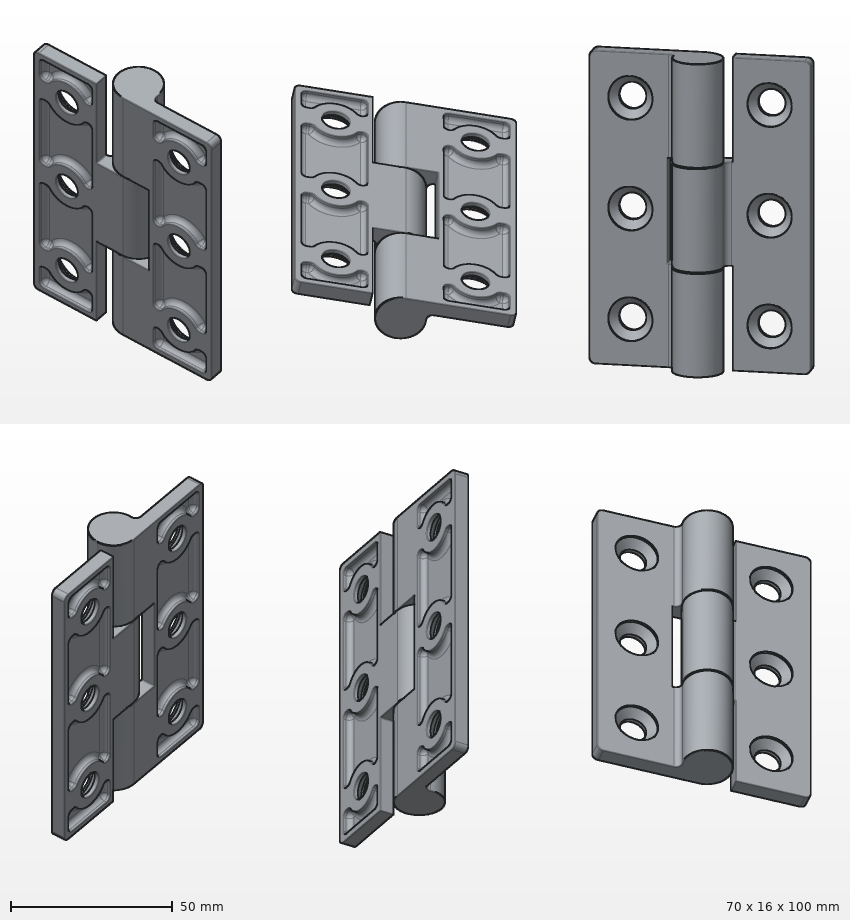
import cadquery as cq
import math

HEIGHT = 100.0
WIDTH = 70.0
LEAF_THICKNESS = 5.0
LEAF_CORNER_RADIUS = 2.0
EDGE_RADIUS = 0.2

KNUCKLE_RADIUS = 8.0
KNUCKLE_FILLET = 2.0
MIDDLE_KNUCKLE_HEIGHT = 33.2
KNUCKLE_GAP = 0.2
LEAF_EDGE_X = 10.3

HOLE_RADIUS = 4.3
HOLE_NECK = 1.5
SINK_RADIUS = 7.0
HOLE_X = 22.0
HOLE_PITCH = 35.3

POCKET_DEPTH = 2.8
POCKET_RADIUS = 1.8
POCKET_MARGIN = 2.2
POCKET_INNER_X = 12.0
POCKET_END_OFFSET = 4.0
BOSS_RADIUS = 8.2

HALF_HEIGHT = HEIGHT / 2
HALF_WIDTH = WIDTH / 2
AXIS_Y = KNUCKLE_RADIUS
HOLE_ROWS = (-HOLE_PITCH, 0.0, HOLE_PITCH)
FLAT_NORMAL = cq.Vector(0, 1, 0)


def block(x_min, x_max, y_max, z_min, z_max):
    """Box standing on the flat face Y = 0."""
    size = (x_max - x_min, y_max, z_max - z_min)
    return cq.Workplane("XY").box(*size, centered=False).translate((x_min, 0, z_min))


def rod(radius, z, y_min, y_max):
    """Cylinder along Y, on the axis of the screw hole at height z."""
    start = cq.Vector(HOLE_X, y_min, z)
    return cq.Workplane(cq.Solid.makeCylinder(radius, y_max - y_min, start, FLAT_NORMAL))


def plate():
    """Leaf plate on the +X side, with its two outer corners rounded."""
    body = block(LEAF_EDGE_X, HALF_WIDTH, LEAF_THICKNESS, -HALF_HEIGHT, HALF_HEIGHT)
    return body.edges("|Y and >X").fillet(LEAF_CORNER_RADIUS)


def knuckle(z_min, z_max):
    """Knuckle and the web that joins it to the plate, with a fillet behind the web."""
    centre_reach = KNUCKLE_RADIUS + KNUCKLE_FILLET
    centre_drop = AXIS_Y - LEAF_THICKNESS - KNUCKLE_FILLET
    centre_x = math.sqrt(centre_reach**2 - centre_drop**2)
    share = KNUCKLE_RADIUS / centre_reach
    tangent_point = (share * centre_x, AXIS_Y - share * centre_drop)
    return (
        cq.Workplane("XY", origin=(0, 0, z_min))
        .moveTo(0, 0)
        .lineTo(LEAF_EDGE_X, 0)
        .lineTo(LEAF_EDGE_X, LEAF_THICKNESS)
        .lineTo(centre_x, LEAF_THICKNESS)
        .radiusArc(tangent_point, KNUCKLE_FILLET)
        .radiusArc((KNUCKLE_RADIUS, AXIS_Y), -KNUCKLE_RADIUS)
        .threePointArc((0, AXIS_Y + KNUCKLE_RADIUS), (-KNUCKLE_RADIUS, AXIS_Y))
        .radiusArc((0, 0), -KNUCKLE_RADIUS)
        .close()
        .extrude(z_max - z_min)
    )


def pocket(z_min, z_max):
    """Pocket between two heights, curving around the screw bosses, with a rounded floor."""
    body = block(POCKET_INNER_X, HALF_WIDTH - POCKET_MARGIN, POCKET_DEPTH, z_min, z_max)
    for z in HOLE_ROWS:
        body = body.cut(rod(BOSS_RADIUS, z, 0, POCKET_DEPTH))
    body = body.edges("|Y").fillet(POCKET_RADIUS)
    return body.faces(">Y").edges().fillet(POCKET_RADIUS)


def screw_hole(z):
    """Narrow neck at the flat face, then a 90 degree cone and a head recess behind it."""
    cone_height = SINK_RADIUS - HOLE_RADIUS
    recess_start = HOLE_NECK + cone_height
    cone_base = cq.Vector(HOLE_X, HOLE_NECK, z)
    cone = cq.Solid.makeCone(HOLE_RADIUS, SINK_RADIUS, cone_height, cone_base, FLAT_NORMAL)
    neck = rod(HOLE_RADIUS, z, 0, HOLE_NECK)
    recess = rod(SINK_RADIUS, z, recess_start, LEAF_THICKNESS)
    return neck.union(cq.Workplane(cone)).union(recess)


def leaf(knuckle_spans):
    """Leaf on the +X side carrying a knuckle over each span of heights."""
    body = plate()
    for z_min, z_max in knuckle_spans:
        body = body.union(knuckle(z_min, z_max))
    body = body.edges().fillet(EDGE_RADIUS)

    for z in HOLE_ROWS:
        body = body.cut(screw_hole(z))
    pocket_top = HALF_HEIGHT - POCKET_MARGIN
    above_middle_hole = POCKET_END_OFFSET
    below_top_hole = HOLE_PITCH - POCKET_END_OFFSET
    above_top_hole = HOLE_PITCH + POCKET_END_OFFSET
    for z_min, z_max in ((above_middle_hole, below_top_hole), (above_top_hole, pocket_top)):
        body = body.cut(pocket(z_min, z_max))
        body = body.cut(pocket(-z_max, -z_min))

    rims = body.faces("<Y").val().innerWires()
    rim_edges = [edge for rim in rims for edge in rim.Edges()]
    return body.newObject(rim_edges).fillet(EDGE_RADIUS)


middle_end = MIDDLE_KNUCKLE_HEIGHT / 2
outer_start = middle_end + KNUCKLE_GAP
right_leaf = leaf([(-HALF_HEIGHT, -outer_start), (outer_start, HALF_HEIGHT)])
left_leaf = leaf([(-middle_end, middle_end)]).mirror("YZ")

result = cq.Compound.makeCompound([right_leaf.val(), left_leaf.val()])